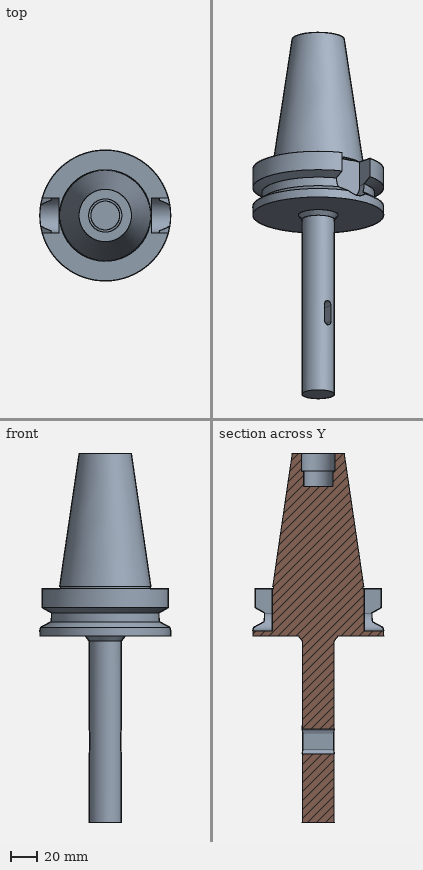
import cadquery as cq

total_height = 281.8
gauge_line = 180.0
flange_top = 178.7
upper_rim_bottom = 164.0
groove_top = 160.0
groove_bottom = 153.3
lower_rim_top = 149.0
flange_bottom = 142.3
collar_height = 3.7

taper_small_radius = 20.0
taper_large_radius = 35.0
neck_radius = 34.5
flange_radius = 50.02
groove_radius = 43.0
collar_radius = 15.2
arbor_radius = 12.5

bore_radius = 12.7
bore_depth = 13.5
pilot_radius = 11.0
pilot_depth = 25.0

drive_slot_width = 26.5
drive_slot_floor = 35.2
drive_slot_bottom = 146.5

cross_slot_width = 6.2
cross_slot_length = 19.0
cross_slot_height = 62.0


def turned_body():
    """Taper, grooved flange, collar and arbor revolved about Z."""
    profile = [
        (0, 0),
        (arbor_radius, 0),
        (arbor_radius, flange_bottom - collar_height),
        (collar_radius, flange_bottom),
        (flange_radius, flange_bottom),
        (flange_radius, lower_rim_top),
        (groove_radius, groove_bottom),
        (groove_radius, groove_top),
        (flange_radius, upper_rim_bottom),
        (flange_radius, flange_top),
        (neck_radius, flange_top),
        (neck_radius, gauge_line),
        (taper_large_radius, gauge_line),
        (taper_small_radius, total_height),
        (0, total_height),
    ]
    return cq.Workplane("XZ").polyline(profile).close().revolve(360, (0, 0), (0, 1))


def drawbar_bore():
    """Stepped blind hole opening at the small end of the taper."""
    mouth = cq.Workplane("XY", origin=(0, 0, total_height))
    bore = mouth.circle(bore_radius).extrude(-bore_depth)
    pilot = mouth.circle(pilot_radius).extrude(-pilot_depth)
    return bore.union(pilot)


def drive_slot(side):
    """Round-bottomed slot open at the flange top; side is +1 or -1 along X."""
    half_width = drive_slot_width / 2
    arc_center = drive_slot_bottom + half_width
    return (
        cq.Workplane("YZ", origin=(side * drive_slot_floor, 0, 0))
        .moveTo(-half_width, flange_top)
        .lineTo(-half_width, arc_center)
        .threePointArc((0, drive_slot_bottom), (half_width, arc_center))
        .lineTo(half_width, flange_top)
        .close()
        .extrude(side * flange_radius)
    )


def cross_slot():
    """Rounded slot standing along Z, cut right through the arbor."""
    return (
        cq.Workplane("YZ", origin=(0, 0, cross_slot_height))
        .slot2D(cross_slot_length, cross_slot_width, 90)
        .extrude(arbor_radius * 2, both=True)
    )


result = turned_body().cut(drawbar_bore()).cut(cross_slot())
for side in (-1, 1):
    result = result.cut(drive_slot(side))